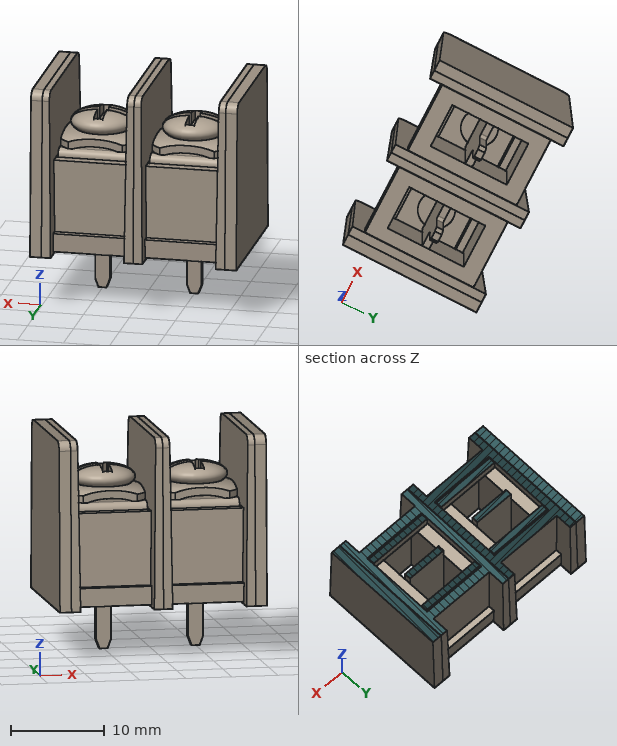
import cadquery as cq
import math

pole_pitch = 10.0
pole_centers = (-pole_pitch / 2, pole_pitch / 2)
total_length = 22.5
total_height = 23.75

wall_bottom = 5.37
wall_depth_bottom = 16.0
wall_depth_top = 15.0
wall_corner_radius = 1.0
half_wall_bottom = 1.0
half_wall_top = 0.75

base_bottom = 5.63
base_top = 7.65
base_depth = 13.02
block_top = 15.63
block_depth_bottom = 11.5
block_depth_top = 11.4

pocket_width = 8.0
pocket_depth_y = 9.12
pocket_floor = 13.63
opening_width = 5.0

sheet = 0.8
terminal_width = 7.93
terminal_length_y = 8.85
terminal_top = block_top + sheet
pin_width = 1.6
pin_tip_width = 0.85
pin_tip_length = 0.97
pin_fillet = 0.38

washer_side = 7.98
washer_rim_diameter = 9.93
washer_thickness = 0.78
washer_flat_diameter = 5.0
washer_bend_radius = 4.51

shank_diameter = 4.0
head_radius = 3.45
head_half_height = 1.35
head_center = 18.6
head_bottom = 17.93
slot_width = 1.0
short_slot_length = 5.0


def centered_box(size_x, size_y, z_low, z_high):
    """Box centered on the Z axis between two heights."""
    return (
        cq.Workplane("XY")
        .workplane(offset=z_low)
        .rect(size_x, size_y)
        .extrude(z_high - z_low)
    )


def cylinder(diameter, z_low, z_high):
    """Round bar on the Z axis between two heights."""
    return (
        cq.Workplane("XY")
        .workplane(offset=z_low)
        .circle(diameter / 2)
        .extrude(z_high - z_low)
    )


def wall_plate(x_low, x_high):
    """Upright plate, narrower at the top, with its two upper corners rounded."""
    return (
        cq.Workplane("YZ", origin=(x_low, 0, 0))
        .moveTo(-wall_depth_bottom / 2, wall_bottom)
        .lineTo(wall_depth_bottom / 2, wall_bottom)
        .lineTo(wall_depth_top / 2, total_height)
        .lineTo(-wall_depth_top / 2, total_height)
        .close()
        .extrude(x_high - x_low)
        .edges("|X and >Z")
        .fillet(wall_corner_radius)
    )


def make_half_walls():
    """Half walls at both ends of a pole, thinning towards the top on the inside."""
    outer = pole_pitch / 2
    channel = (
        cq.Workplane("XZ")
        .moveTo(-outer + half_wall_bottom, wall_bottom)
        .lineTo(outer - half_wall_bottom, wall_bottom)
        .lineTo(outer - half_wall_top, total_height)
        .lineTo(-outer + half_wall_top, total_height)
        .close()
        .extrude(wall_depth_bottom / 2, both=True)
    )
    return wall_plate(-outer, outer).cut(channel)


def make_housing(x_center):
    """One pole of the housing: two half walls, a stepped block and its openings."""
    inner_length = pole_pitch - 2 * half_wall_top
    block = (
        cq.Workplane("YZ")
        .moveTo(-base_depth / 2, base_bottom)
        .lineTo(base_depth / 2, base_bottom)
        .lineTo(base_depth / 2, base_top)
        .lineTo(block_depth_bottom / 2, base_top)
        .lineTo(block_depth_top / 2, block_top)
        .lineTo(-block_depth_top / 2, block_top)
        .lineTo(-block_depth_bottom / 2, base_top)
        .lineTo(-base_depth / 2, base_top)
        .close()
        .extrude(inner_length / 2, both=True)
    )
    pocket = centered_box(pocket_width, pocket_depth_y, pocket_floor, block_top)
    opening = centered_box(opening_width, pocket_depth_y, base_bottom, pocket_floor)
    housing = block.union(make_half_walls()).cut(pocket).cut(opening)
    return housing.translate((x_center, 0, 0))


def make_terminal(x_center):
    """Bent strip with a blade below it that narrows to a solder pin."""
    strip = (
        centered_box(terminal_width, terminal_length_y, pocket_floor, terminal_top)
        .edges("|X and >Z")
        .fillet(sheet)
        .cut(centered_box(terminal_width, terminal_length_y - 2 * sheet, pocket_floor, block_top))
        .cut(cylinder(shank_diameter, block_top, terminal_top))
    )
    half_blade = opening_width / 2
    half_pin = pin_width / 2
    half_tip = pin_tip_width / 2
    blade = (
        cq.Workplane("XZ")
        .moveTo(-half_blade, block_top)
        .lineTo(half_blade, block_top)
        .lineTo(half_blade, base_bottom)
        .lineTo(half_pin + pin_fillet, base_bottom)
        .radiusArc((half_pin, base_bottom - pin_fillet), -pin_fillet)
        .lineTo(half_pin, pin_tip_length)
        .lineTo(half_tip, 0)
        .lineTo(-half_tip, 0)
        .lineTo(-half_pin, pin_tip_length)
        .lineTo(-half_pin, base_bottom - pin_fillet)
        .radiusArc((-half_pin - pin_fillet, base_bottom), -pin_fillet)
        .lineTo(-half_blade, base_bottom)
        .close()
        .extrude(sheet / 2, both=True)
    )
    return strip.union(blade).translate((x_center, 0, 0))


def domed_disc():
    """Disc of even thickness, flat in the middle and curving down to its rim."""
    flat = washer_flat_diameter / 2
    inner_radius = washer_bend_radius - washer_thickness
    bend_center = head_bottom - washer_bend_radius
    inner_top = head_bottom - washer_thickness
    diagonal = math.pi / 4
    bend_run = math.sin(diagonal)
    bend_rise = math.cos(diagonal)
    return (
        cq.Workplane("XZ")
        .moveTo(0, head_bottom)
        .lineTo(flat, head_bottom)
        .radiusArc(
            (flat + washer_bend_radius * bend_run, bend_center + washer_bend_radius * bend_rise),
            washer_bend_radius,
        )
        .lineTo(flat + inner_radius * bend_run, bend_center + inner_radius * bend_rise)
        .radiusArc((flat, inner_top), -inner_radius)
        .lineTo(0, inner_top)
        .close()
        .revolve(360, (0, 0, 0), (0, 1, 0))
    )


def make_washer(x_center):
    """Square with rounded-off corners, trimmed from a domed disc, around the screw shank."""
    washer = (
        centered_box(washer_side, washer_side, terminal_top, head_bottom)
        .intersect(cylinder(washer_rim_diameter, terminal_top, head_bottom))
        .intersect(domed_disc())
        .cut(cylinder(shank_diameter, terminal_top, head_bottom))
    )
    return washer.translate((x_center, 0, 0))


def make_screw(x_center):
    """Screw with an oval head, one slot across the full head and a shorter one along Y."""
    start_angle = math.asin((head_bottom - head_center) / head_half_height)
    shank_radius = shank_diameter / 2
    screw = (
        cq.Workplane("XZ")
        .moveTo(0, block_top)
        .lineTo(shank_radius, block_top)
        .lineTo(shank_radius, head_bottom)
        .lineTo(head_radius * math.cos(start_angle), head_bottom)
        .ellipseArc(head_radius, head_half_height, math.degrees(start_angle), 90, sense=1)
        .close()
        .revolve(360, (0, 0, 0), (0, 1, 0))
    )
    head_top = head_center + head_half_height
    long_slot = centered_box(2 * head_radius, slot_width, head_center, head_top)
    short_slot = centered_box(slot_width, short_slot_length, head_center, head_top)
    return screw.cut(long_slot).cut(short_slot).translate((x_center, 0, 0))


end_plates = [
    wall_plate(-total_length / 2, -pole_pitch),
    wall_plate(pole_pitch, total_length / 2),
]
housings = [make_housing(x) for x in pole_centers]
terminals = [make_terminal(x) for x in pole_centers]
washers = [make_washer(x) for x in pole_centers]
screws = [make_screw(x) for x in pole_centers]

bodies = end_plates + housings + terminals + washers + screws
result = cq.Compound.makeCompound([body.solids().val() for body in bodies])